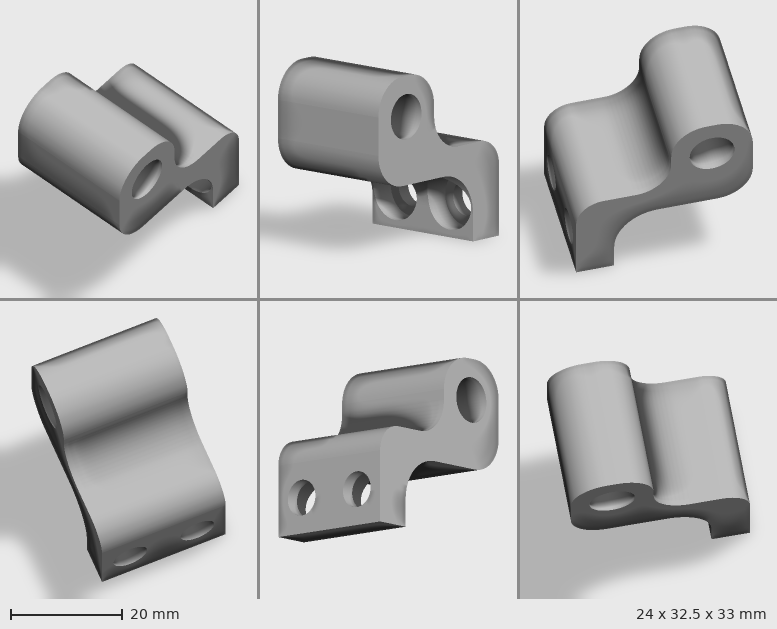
import cadquery as cq

width = 24.0
depth = 32.5
height = 33.0
foot_thickness = 7.0
foot_height = 18.0
head_depth = 15.0
head_underside = 13.0
head_radius = 6.5
foot_corner_radius = 5.0
inner_fillet_radius = 8.0

pivot_diameter = 8.25
pivot_offset = 7.5

bolt_diameter = 6.5
bolt_spacing = 13.0
bolt_height = 6.5
counterbore_diameter = 10.25
counterbore_depth = 4.5

foot_front = depth - foot_thickness


def round_edge(body, y, z, radius):
    """Fillet the edge running along X at the given Y and Z."""
    tolerance = 0.03
    corner = cq.selectors.BoxSelector(
        (-width, y - tolerance, z - tolerance),
        (width, y + tolerance, z + tolerance),
    )
    return body.edges(corner).fillet(radius)


def make_body():
    """Z-shaped profile in the YZ plane, extruded along X and rounded."""
    body = (
        cq.Workplane("YZ")
        .moveTo(0, head_underside)
        .lineTo(0, height)
        .lineTo(head_depth, height)
        .lineTo(head_depth, foot_height)
        .lineTo(depth, foot_height)
        .lineTo(depth, 0)
        .lineTo(foot_front, 0)
        .lineTo(foot_front, head_underside)
        .close()
        .extrude(width / 2, both=True)
    )
    rounded_corners = [
        (0, head_underside, head_radius),
        (0, height, head_radius),
        (head_depth, height, head_radius),
        (head_depth, foot_height, head_radius),
        (depth, foot_height, foot_corner_radius),
        (foot_front, head_underside, inner_fillet_radius),
    ]
    for y, z, radius in rounded_corners:
        body = round_edge(body, y, z, radius)
    return body


def make_pivot_hole():
    """Cylinder through the head along X."""
    return (
        cq.Workplane("YZ")
        .center(pivot_offset, height - pivot_offset)
        .circle(pivot_diameter / 2)
        .extrude(width, both=True)
    )


def make_bolt_hole(x):
    """Through hole along Y with a counterbore open towards the front."""
    seat = cq.Workplane("XZ", origin=(x, foot_front + counterbore_depth, bolt_height))
    counterbore = seat.circle(counterbore_diameter / 2).extrude(foot_front + counterbore_depth)
    shank = seat.circle(bolt_diameter / 2).extrude(-foot_thickness)
    return counterbore.union(shank)


result = make_body().cut(make_pivot_hole())
for side in (-1, 1):
    result = result.cut(make_bolt_hole(side * bolt_spacing / 2))